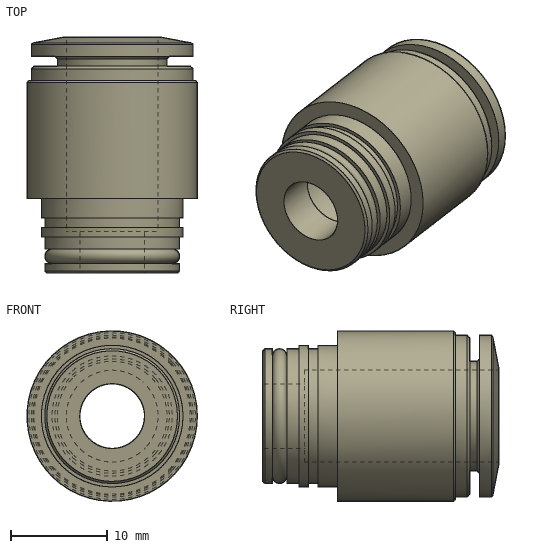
import cadquery as cq


bore_diameter = 6.7
release_bore_diameter = 9.53
crown_diameter = 10.05
release_neck_diameter = 11.4
plug_diameter = 14.0
land_diameter = 14.7
collar_diameter = 16.8
body_diameter = 17.7

seal_groove_start = 1.0
seal_groove_end = 2.5
land_start = 3.75
land_end = 4.75
plug_shoulder = 5.73
body_start = 7.75
body_end = 20.0
collar_end = 21.49
button_start = 22.5
button_rim_end = 23.75
length = 24.5

plug_chamfer = 0.22
body_chamfer = 0.2
collar_chamfer = 0.3
neck_flare = 0.25
rim_edge_height = 0.15
rim_edge_inset = 0.17

release_bore_start = 4.34

seal_section_radius = (seal_groove_end - seal_groove_start) / 2
seal_center_radius = plug_diameter / 2 - seal_section_radius
seal_center = (seal_groove_start + seal_groove_end) / 2

plug_radius = plug_diameter / 2
land_radius = land_diameter / 2
body_radius = body_diameter / 2
collar_radius = collar_diameter / 2
neck_radius = release_neck_diameter / 2


def turned_body():
    """Revolve the outer profile, including the rounded seal, about Y."""
    profile = (
        cq.Workplane("XY")
        .moveTo(0, 0)
        .lineTo(plug_radius - plug_chamfer, 0)
        .lineTo(plug_radius, plug_chamfer)
        .lineTo(plug_radius, seal_groove_start)
        .lineTo(seal_center_radius, seal_groove_start)
        .threePointArc((plug_radius, seal_center), (seal_center_radius, seal_groove_end))
        .lineTo(plug_radius, seal_groove_end)
        .lineTo(plug_radius, land_start)
        .lineTo(land_radius, land_start)
        .lineTo(land_radius, land_end)
        .lineTo(plug_radius, land_end)
        .lineTo(plug_radius, plug_shoulder)
        .lineTo(land_radius, plug_shoulder)
        .lineTo(land_radius, body_start)
        .lineTo(body_radius, body_start)
        .lineTo(body_radius, body_end - body_chamfer)
        .lineTo(body_radius - body_chamfer, body_end)
        .lineTo(collar_radius, body_end)
        .lineTo(collar_radius, collar_end - collar_chamfer)
        .lineTo(collar_radius - collar_chamfer, collar_end)
        .lineTo(neck_radius, collar_end)
        .lineTo(neck_radius, button_start - neck_flare)
        .lineTo(neck_radius + neck_flare, button_start)
        .lineTo(collar_radius, button_start)
        .lineTo(collar_radius, button_rim_end)
        .lineTo(collar_radius - rim_edge_inset, button_rim_end + rim_edge_height)
        .lineTo(crown_diameter / 2, length)
        .lineTo(0, length)
        .close()
    )
    return profile.revolve(360, (0, 0, 0), (0, 1, 0))


def bore(diameter, start, depth):
    """Return a cylinder along +Y beginning at the given station."""
    axis_start = cq.Vector(0, start, 0)
    axis_direction = cq.Vector(0, 1, 0)
    return cq.Workplane(cq.Solid.makeCylinder(diameter / 2, depth, axis_start, axis_direction))


through_bore = bore(bore_diameter, 0, length)
release_bore = bore(release_bore_diameter, release_bore_start, length - release_bore_start)

result = turned_body().cut(through_bore).cut(release_bore)